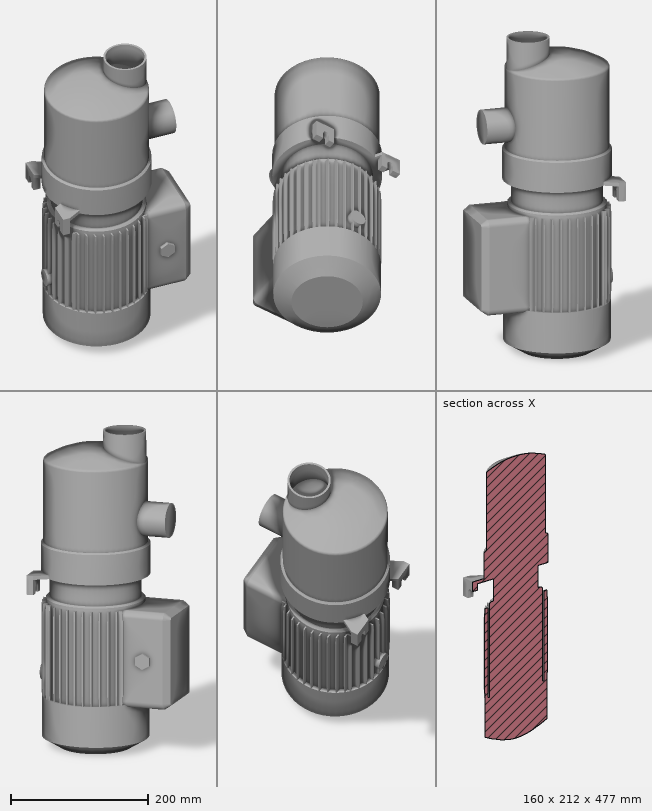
import cadquery as cq
import math

total_height = 477.0

cover_radius = 78.5
cover_base_radius = 52.0
cover_cone_height = 16.0
cover_top = 77.0

barrel_radius = 72.5
barrel_top = 226.0
barrel_chamfer = 2.5
fin_top = 218.3
fin_count_per_side = 10
fin_pitch_angle = 360.0 / (4 * fin_count_per_side)
fin_thickness = 2.0
fin_tip_radius = 79.5
fin_taper_depth = 1.0
fin_taper_length = 15.0
fin_root = 52.0

neck_radius = 67.0
collar_radius = 80.0
collar_bottom = 260.0
collar_top = 308.0
collar_chamfer = 2.5

housing_radius = 76.5
dome_edge_height = 431.0
dome_top = 453.0
dome_edge_fillet = 4.5
dome_edge_search = 1.0

outlet_radius = 31.5
outlet_wall = 3.0
outlet_offset = 44.5

inlet_radius = 25.5
inlet_height = 347.0
inlet_end = 115.0

box_width = 100.0
box_bottom = 73.0
box_top = fin_top
box_end = 130.0
box_edge_radius = 10.0
box_bevel_depth = 10.0
box_bevel_inset = 7.0

gland_across_flats = 21.0
gland_length = 5.5
gland_offset = 90.0
gland_height = (box_bottom + box_top) / 2

foot_outer = 73.0
foot_inner = 42.0
foot_face = 82.0
foot_plate_thickness = 10.5
foot_top = 265.7
foot_bottom = 237.0
foot_web_slope = 60.0
foot_web_length = 36.0
foot_slot_center = 56.0
foot_slot_width = 10.0
foot_slot_top = 252.0

plug_radius = 12.5
plug_height = 106.0
plug_face = foot_face


def cylinder(radius, bottom, top):
    return cq.Workplane("XY").workplane(offset=bottom).circle(radius).extrude(top - bottom)


def cylinder_along_y(radius, height, start, end):
    plane = cq.Plane(origin=(0, start, height), xDir=(1, 0, 0), normal=(0, 1, 0))
    return cq.Workplane(plane).circle(radius).extrude(end - start)


def make_fan_cover():
    profile = [
        (0, 0),
        (cover_base_radius, 0),
        (cover_radius, cover_cone_height),
        (cover_radius, cover_top),
        (0, cover_top),
    ]
    return cq.Workplane("XZ").polyline(profile).close().revolve(360, (0, 0), (0, 1))


def make_fin(offset, tip_distance):
    """One fin that points along +X at Y = offset, with its tip tapered at both ends."""
    end_distance = tip_distance - fin_taper_depth
    profile = [
        (fin_root, cover_top),
        (end_distance, cover_top),
        (tip_distance, cover_top + fin_taper_length),
        (tip_distance, fin_top - fin_taper_length),
        (end_distance, fin_top),
        (fin_root, fin_top),
    ]
    plane = cq.Workplane("XZ", origin=(0, offset, 0))
    return plane.polyline(profile).close().extrude(fin_thickness / 2, both=True)


def add_fins(body):
    """Four groups of parallel fins whose tips are evenly spaced around the barrel."""
    half_spread = fin_pitch_angle * (fin_count_per_side - 1) / 2
    for side in range(4):
        for index in range(fin_count_per_side):
            angle = math.radians(index * fin_pitch_angle - half_spread)
            offset = fin_tip_radius * math.sin(angle)
            outer_corner = abs(offset) + fin_thickness / 2
            tip_distance = math.sqrt(fin_tip_radius**2 - outer_corner**2)
            fin = make_fin(offset, tip_distance)
            body = body.union(fin.rotate((0, 0, 0), (0, 0, 1), 90 * side))
    return body


def make_barrel():
    barrel = cylinder(barrel_radius, cover_top, barrel_top)
    return barrel.faces(">Z").edges().chamfer(barrel_chamfer)


def make_neck_and_collar():
    neck = cylinder(neck_radius, barrel_top, collar_bottom)
    collar = cylinder(collar_radius, collar_bottom, collar_top)
    return neck.union(collar.faces(">Z").edges().chamfer(collar_chamfer))


def make_housing():
    dome_rise = dome_top - dome_edge_height
    dome_radius = (housing_radius**2 + dome_rise**2) / (2 * dome_rise)
    half_angle = math.asin(housing_radius / dome_radius) / 2
    dome_center = dome_top - dome_radius
    dome_mid = (
        dome_radius * math.sin(half_angle),
        dome_center + dome_radius * math.cos(half_angle),
    )
    housing = (
        cq.Workplane("XZ")
        .moveTo(0, collar_top)
        .lineTo(housing_radius, collar_top)
        .lineTo(housing_radius, dome_edge_height)
        .threePointArc(dome_mid, (0, dome_top))
        .close()
        .revolve(360, (0, 0), (0, 1))
    )
    dome_edge = cq.selectors.BoxSelector(
        (-collar_radius, -collar_radius, dome_edge_height - dome_edge_search),
        (collar_radius, collar_radius, dome_edge_height + dome_edge_search),
    )
    return housing.edges("%CIRCLE").edges(dome_edge).fillet(dome_edge_fillet)


def make_outlet(housing):
    """Open tube that stands on the dome; the dome surface closes its lower end."""
    tube = (
        cq.Workplane("XY")
        .workplane(offset=collar_top)
        .center(0, outlet_offset)
        .circle(outlet_radius)
        .circle(outlet_radius - outlet_wall)
        .extrude(total_height - collar_top)
    )
    return tube.cut(housing)


def make_terminal_box():
    box = (
        cq.Workplane("XY")
        .box(box_width, box_end, box_top - box_bottom, centered=(True, False, False))
        .translate((0, 0, box_bottom))
    )
    box = box.edges("|Y").fillet(box_edge_radius)
    return box.faces(">Y").edges().chamfer(box_bevel_inset, box_bevel_depth)


def make_gland():
    plane = cq.Plane(origin=(box_width / 2, gland_offset, gland_height), xDir=(0, 0, 1), normal=(1, 0, 0))
    across_corners = gland_across_flats / math.cos(math.radians(30))
    return cq.Workplane(plane).polygon(6, across_corners).extrude(gland_length)


def make_foot():
    """Foot on the -X side: slotted upright plate with a sloping web to the collar."""
    web_run = foot_web_length * math.cos(math.radians(foot_web_slope))
    web_rise = foot_web_length * math.sin(math.radians(foot_web_slope))
    plate_back = foot_face - foot_plate_thickness
    web_outline = [
        (-foot_outer, -foot_face),
        (-foot_outer, -plate_back),
        (-foot_outer + web_run, -plate_back + web_rise),
        (-foot_inner + web_run, -foot_face + web_rise),
        (-foot_inner, -foot_face),
    ]
    web = (
        cq.Workplane("XY")
        .workplane(offset=collar_bottom)
        .polyline(web_outline)
        .close()
        .extrude(foot_top - collar_bottom)
    )
    plate = (
        cq.Workplane("XY")
        .box(foot_outer - foot_inner, foot_plate_thickness, foot_top - foot_bottom, centered=False)
        .translate((-foot_outer, -foot_face, foot_bottom))
    )
    slot_radius = foot_slot_width / 2
    slot_end = foot_slot_top - slot_radius
    slot_round = cylinder_along_y(slot_radius, slot_end, -foot_face, -plate_back)
    slot_mouth = (
        cq.Workplane("XY")
        .box(foot_slot_width, foot_plate_thickness, slot_end - foot_bottom, centered=(True, False, False))
        .translate((0, -foot_face, foot_bottom))
    )
    slot = slot_round.union(slot_mouth).translate((-foot_slot_center, 0, 0))
    return web.union(plate.cut(slot))


housing = make_housing()
foot = make_foot()

result = (
    add_fins(make_fan_cover().union(make_barrel()))
    .union(make_neck_and_collar())
    .union(housing)
    .union(make_outlet(housing))
    .union(cylinder_along_y(inlet_radius, inlet_height, 0, inlet_end))
    .union(make_terminal_box())
    .union(make_gland())
    .union(foot)
    .union(foot.mirror("YZ"))
    .union(cylinder_along_y(plug_radius, plug_height, -plug_face, 0))
)